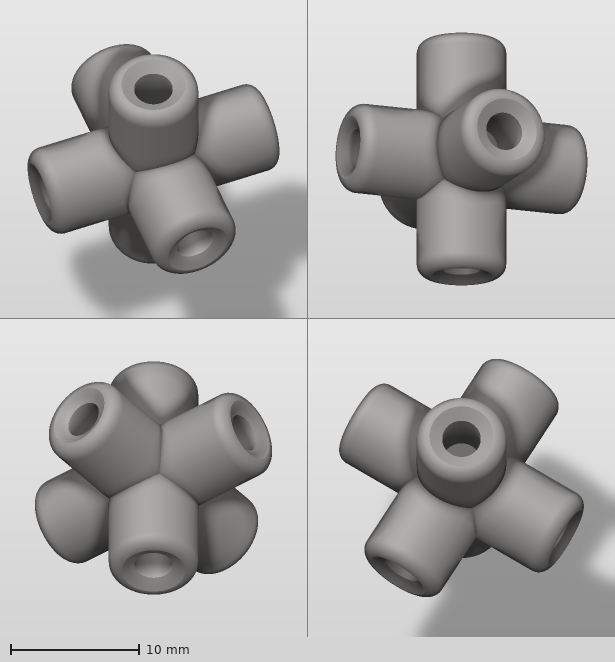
import cadquery as cq

span = 19.0
arm_diameter = 7.0
tip_rounding = 1.0
bore_diameter = 3.0
bore_depth = 5.7
countersink_depth = 0.57

countersink_diameter = arm_diameter - 2 * tip_rounding

axis_directions = [(1, 0, 0), (0, 1, 0), (0, 0, 1)]


def rounded_bar(direction):
    """Full-length round bar centred on the origin, with both ends rounded."""
    start = tuple(-span / 2 * component for component in direction)
    bar = cq.Solid.makeCylinder(arm_diameter / 2, span, cq.Vector(*start), cq.Vector(*direction))
    return cq.Workplane(obj=bar).edges("%CIRCLE").fillet(tip_rounding)


def countersunk_bore(outward):
    """Blind bore with a conical mouth, entering the tip that faces outward."""
    tip = cq.Vector(*outward) * (span / 2)
    inward = cq.Vector(*outward) * -1
    bore = cq.Solid.makeCylinder(bore_diameter / 2, bore_depth, tip, inward)
    mouth = cq.Solid.makeCone(
        countersink_diameter / 2, bore_diameter / 2, countersink_depth, tip, inward
    )
    return cq.Workplane(obj=bore).union(cq.Workplane(obj=mouth))


result = rounded_bar(axis_directions[0])
for direction in axis_directions[1:]:
    result = result.union(rounded_bar(direction))

for direction in axis_directions:
    for side in (-1, 1):
        outward = tuple(side * component for component in direction)
        result = result.cut(countersunk_bore(outward))